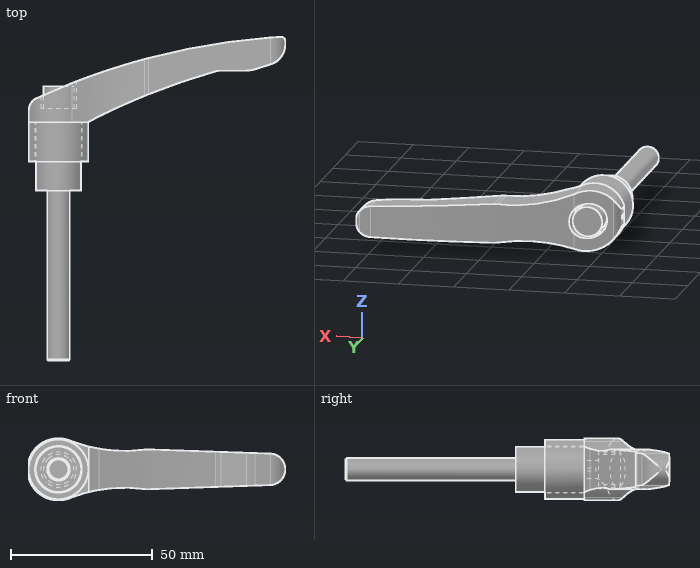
import cadquery as cq
import math

stud_diameter = 8.0
stud_tip_diameter = 7.0
stud_chamfer = (stud_diameter - stud_tip_diameter) / 2
sleeve_diameter = 16.0
sleeve_bottom = 60.0
collar_diameter = 21.0
collar_bottom = 70.3
bore_diameter = 16.6
head_diameter = 22.0
head_bottom = 84.2
head_flat_x = -10.5
head_flat_top = 88.4
groove_width = 1.0
groove_depth = 0.1
groove_top = 88.2
recess_diameter = 12.6
recess_floor = 89.2
screw_diameter = 10.6
screw_top = 96.9

lever_end_x = 80.0
lever_top = 114.3
tip_start_x = 74.6
tip_top_y = 114.1
tip_bottom_y = 104.5
tip_nose_start_y = 111.3
tip_nose_bend = (78.3, 106.9)
tip_corner_radius = 1.5
shoulder_bend = (-9.8, 90.8)
shoulder_end = (-8.3, 92.4)
back_start_y = 98.0
back_bend = (38.9, 108.6)
underside_mid = (32.0, 94.1)
tip_half_width = 5.6
grip_start_x = 31.0
grip_half_width = 7.1
waist_point = (18.3, 6.7)
head_arc_end_x = 4.7
waist_blend = 8.0
finger_stop_start_x = 56.2
finger_stop_end_x = 67.8
finger_stop_y = 102.3
finger_stop_start_blend = 6.9
finger_stop_end_blend = 10.3
underside_start_x = 10.6
underside_bend = (14.3, 86.2)


def cylinder(diameter, bottom, top):
    """Cylinder along Y between two heights."""
    disc = cq.Workplane("XZ", origin=(0, bottom, 0)).circle(diameter / 2)
    return disc.extrude(bottom - top)


def lever_side_shape():
    """Curved lever profile in the XY plane, as wide as the head in Z."""
    x_corner = lever_end_x - tip_corner_radius
    y_corner = lever_top - tip_corner_radius
    corner_reach = tip_corner_radius * math.sqrt(0.5)
    outline = (
        cq.Workplane("XY")
        .moveTo(head_flat_x, head_bottom)
        .lineTo(head_flat_x, head_flat_top)
        .threePointArc(shoulder_bend, shoulder_end)
        .lineTo(head_arc_end_x, back_start_y)
        .threePointArc(back_bend, (tip_start_x, tip_top_y))
        .lineTo(x_corner, lever_top)
        .threePointArc((x_corner + corner_reach, y_corner + corner_reach), (lever_end_x, y_corner))
        .lineTo(lever_end_x, tip_nose_start_y)
        .threePointArc(tip_nose_bend, (tip_start_x, tip_bottom_y))
        .lineTo(finger_stop_end_x, finger_stop_y)
        .lineTo(finger_stop_start_x, finger_stop_y)
        .threePointArc(underside_mid, underside_bend)
        .lineTo(underside_start_x, head_bottom)
        .close()
    )
    side = outline.extrude(head_diameter / 2, both=True)
    start_edge = side.edges(cq.NearestToPointSelector((finger_stop_start_x, finger_stop_y, 0)))
    side = start_edge.fillet(finger_stop_start_blend)
    end_edge = side.edges(cq.NearestToPointSelector((finger_stop_end_x, finger_stop_y, 0)))
    return end_edge.fillet(finger_stop_end_blend)


def lever_plan_shape():
    """Lever width in the XZ plane: round head, waist, grip and round tip."""
    x_head = head_arc_end_x
    z_head = math.sqrt((head_diameter / 2) ** 2 - x_head ** 2)
    x_waist, z_waist = waist_point
    outline = (
        cq.Workplane("XZ")
        .moveTo(x_head, -z_head)
        .threePointArc((-head_diameter / 2, 0), (x_head, z_head))
        .threePointArc((x_waist, z_waist), (grip_start_x, grip_half_width))
        .lineTo(tip_start_x, tip_half_width)
        .threePointArc((lever_end_x, 0), (tip_start_x, -tip_half_width))
        .lineTo(grip_start_x, -grip_half_width)
        .threePointArc((x_waist, -z_waist), (x_head, -z_head))
        .close()
    )
    plan = outline.extrude(-lever_top)
    for z in (-grip_half_width, grip_half_width):
        grip_edge = plan.edges(cq.NearestToPointSelector((grip_start_x, lever_top / 2, z)))
        plan = grip_edge.fillet(waist_blend)
    return plan


def head_groove():
    """Shallow narrow groove along the flat of the head."""
    height = groove_top - head_bottom
    block = cq.Workplane("XY").box(2 * groove_depth, height, groove_width)
    return block.translate((head_flat_x, head_bottom + height / 2, 0))


lever = lever_side_shape().intersect(lever_plan_shape())
lever = lever.cut(cylinder(recess_diameter, recess_floor, lever_top)).cut(head_groove())

stud = cylinder(stud_diameter, 0, sleeve_bottom).faces("<Y").chamfer(stud_chamfer)
sleeve = cylinder(sleeve_diameter, sleeve_bottom, head_bottom)
collar = cylinder(collar_diameter, collar_bottom, head_bottom)
collar = collar.cut(cylinder(bore_diameter, collar_bottom, head_bottom))
screw = cylinder(screw_diameter, recess_floor, screw_top)

result = lever.union(collar).union(sleeve).union(stud).union(screw)